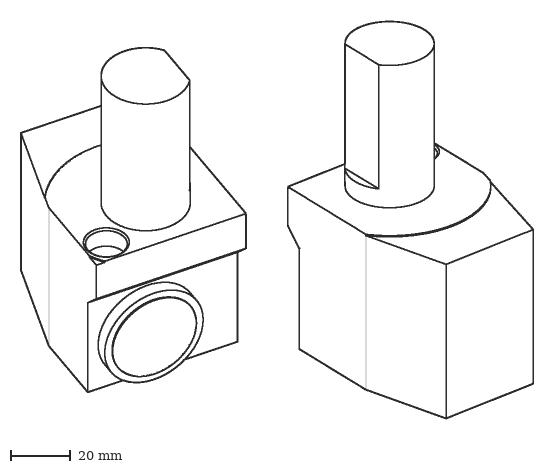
import cadquery as cq
import math

total_height = 115.0
body_height = 60.0
body_left = -52.9
body_right = 21.0
body_back = 27.0
body_front = -30.0
end_face_back = 18.4
end_face_front = -19.3
taper_angle = 15.0

seat_radius = 34.0
seat_height = 0.5

shank_diameter = 30.0
shank_flat_y = 12.0
shank_flat_start = body_height + 7.0

relief_face_x = 15.0
relief_top = 45.0

cover_diameter = 37.5
cover_thickness = 4.7
cover_lip_diameter = 32.0
cover_lip_thickness = 0.5
cover_y = -7.4
cover_z = 19.0

hole_x = 12.4
hole_y = -21.6
hole_diameter = 14.0
hole_depth = 7.4
hole_chamfer = 0.7


def make_body():
    """Tapered block whose top is lowered outside the round seat."""
    slope = math.tan(math.radians(taper_angle))
    back_taper_end = body_left + (body_back - end_face_back) / slope
    front_taper_end = body_left + (end_face_front - body_front) / slope
    outline = cq.Workplane("XY").polyline([
        (body_left, end_face_front),
        (front_taper_end, body_front),
        (body_right, body_front),
        (body_right, body_back),
        (back_taper_end, body_back),
        (body_left, end_face_back),
    ]).close()
    block = outline.extrude(body_height)
    lowered_height = body_height - seat_height
    base_size = 2 * (body_right - body_left)
    base = cq.Workplane("XY").rect(base_size, base_size).extrude(lowered_height)
    seat = cq.Workplane("XY").workplane(offset=lowered_height).circle(seat_radius).extrude(seat_height)
    return block.intersect(base.union(seat))


def make_relief():
    """Cutter for the recessed lower part of the right-hand face."""
    overhang = body_right - relief_face_x
    profile = cq.Workplane("XZ").polyline([
        (relief_face_x, 0),
        (body_right, 0),
        (body_right, relief_top),
        (relief_face_x, relief_top - overhang),
    ]).close()
    return profile.extrude(body_back - body_front).translate((0, body_back, 0))


def make_shank():
    """Round shank, flattened above a short full-diameter collar."""
    radius = shank_diameter / 2
    shank = cq.Workplane("XY").workplane(offset=body_height - seat_height).circle(radius)
    shank = shank.extrude(total_height - body_height + seat_height)
    flat_cutter = cq.Workplane("XY").box(
        shank_diameter, radius, total_height - shank_flat_start, centered=(True, False, False)
    ).translate((0, shank_flat_y, shank_flat_start))
    return shank.cut(flat_cutter)


def make_cover():
    """Stepped disc standing on the relieved face."""
    face = cq.Workplane("YZ", origin=(relief_face_x, cover_y, cover_z))
    disc = face.circle(cover_diameter / 2).extrude(cover_thickness)
    lip = face.circle(cover_lip_diameter / 2).extrude(cover_thickness + cover_lip_thickness)
    return disc.union(lip)


def make_hole():
    """Cutter for the flat-bottomed hole with a chamfered mouth."""
    radius = hole_diameter / 2
    profile = cq.Workplane("XZ").polyline([
        (0, 0),
        (radius + hole_chamfer, 0),
        (radius, -hole_chamfer),
        (radius, -hole_depth),
        (0, -hole_depth),
    ]).close()
    return profile.revolve(360, (0, 0), (0, 1)).translate((hole_x, hole_y, body_height))


body = make_body().cut(make_relief()).cut(make_hole())
result = body.union(make_shank()).union(make_cover())